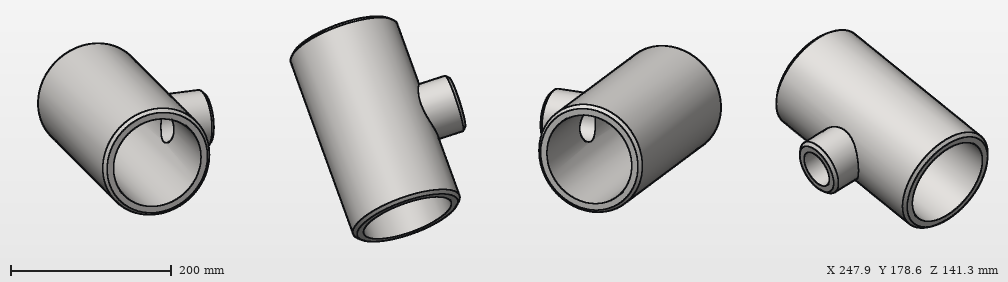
import cadquery as cq

WALL = 12.7

RUN_LENGTH = 247.9
RUN_DIAMETER = 141.3
RUN_BORE = RUN_DIAMETER - 2 * WALL

BRANCH_REACH = 107.95
BRANCH_DIAMETER = 73.0
BRANCH_BORE = BRANCH_DIAMETER - 2 * WALL

BEVEL = WALL / 3


def make_run():
    """Solid run cylinder with both ends bevelled."""
    run = cq.Workplane("YZ").circle(RUN_DIAMETER / 2).extrude(RUN_LENGTH / 2, both=True)
    return run.faces("<X or >X").chamfer(BEVEL)


def make_branch():
    """Solid branch cylinder from the run axis to its bevelled free end."""
    branch = cq.Workplane("XZ").circle(BRANCH_DIAMETER / 2).extrude(-BRANCH_REACH)
    return branch.faces(">Y").chamfer(BEVEL)


def make_bores():
    """Through bore of the run joined by the bore of the branch."""
    run_bore = cq.Workplane("YZ").circle(RUN_BORE / 2).extrude(RUN_LENGTH / 2, both=True)
    branch_bore = cq.Workplane("XZ").circle(BRANCH_BORE / 2).extrude(-BRANCH_REACH)
    return run_bore.union(branch_bore)


result = make_run().union(make_branch()).cut(make_bores())